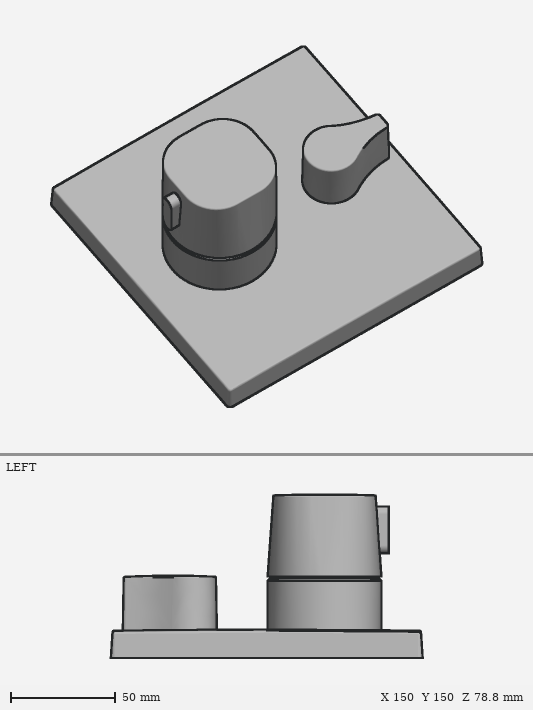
import cadquery as cq
import math

plate_side = 150.0
plate_draft = 0.9
plate_corner_radius = 2.2
plate_height = 13.8
plate_crown = 0.6
plate_edge_radius = 1.2

knob_y = -27.8
knob_radius = 27.5
collar_top = 38.2
collar_chamfer = 1.2
neck_radius = 22.2
knob_bottom = 39.2
knob_top = 78.8
knob_crown = 0.5
knob_top_half_width = 24.6
knob_top_corner_radius = 18.0
knob_edge_radius = 0.9

grip_width = 7.4
grip_bottom = 50.4
grip_height = 22.5
grip_front_y = -58.6

lever_y = 38.0
lever_head_radius = 14.1
lever_length = 31.4
lever_tip_half_width = 5.1
lever_tip_corner_radius = 1.8
lever_top = 39.8
lever_crown = 0.3
lever_edge_radius = 0.9
lever_draft_angle = 1.0

overlap = 3.0


def crown_top(body, center_y, top, rise, half_span):
    """Trim a body with a shallow sphere that drops by rise at half_span."""
    radius = (half_span**2 + rise**2) / (2 * rise)
    sphere = cq.Workplane("XY").sphere(radius).rotate((0, 0, 0), (0, 1, 0), 90)
    sphere = sphere.translate((0, center_y, top - radius))
    return body.intersect(sphere)


def make_plate():
    draft_angle = math.degrees(math.atan(plate_draft / plate_height))
    outline = cq.Sketch().rect(plate_side, plate_side).vertices().fillet(plate_corner_radius)
    body = cq.Workplane("XY").placeSketch(outline).extrude(plate_height, taper=draft_angle)
    body = crown_top(body, 0, plate_height, plate_crown, plate_side / 2)
    return body.faces(">Z").edges().fillet(plate_edge_radius)


def turn_point(x, y, quarter_turns):
    angle = math.radians(90 * quarter_turns)
    return (x * math.cos(angle) - y * math.sin(angle), x * math.sin(angle) + y * math.cos(angle))


def knob_outline(z, half_width, side_end, corner_middle):
    """Wire of four sides and four corner arcs; each side is straight or an arc."""
    side_x, side_y = side_end
    edges = []
    for quarter in range(4):
        points = [(side_x, -side_y), (half_width, 0), side_end, (corner_middle, corner_middle), (side_y, side_x)]
        points = [cq.Vector(*turn_point(x, y, quarter), z) for x, y in points]
        if side_x == half_width:
            edges.append(cq.Edge.makeLine(points[0], points[2]))
        else:
            edges.append(cq.Edge.makeThreePointArc(*points[:3]))
        edges.append(cq.Edge.makeThreePointArc(*points[2:]))
    return cq.Wire.assembleEdges(edges)


def make_collar():
    height = collar_top - plate_height + overlap
    collar = cq.Workplane("XY").workplane(offset=plate_height - overlap).circle(knob_radius).extrude(height)
    collar = collar.faces(">Z").chamfer(collar_chamfer)
    neck_height = knob_bottom - collar_top + 2 * overlap
    neck = cq.Workplane("XY").workplane(offset=collar_top - overlap).circle(neck_radius).extrude(neck_height)
    return collar.union(neck).translate((0, knob_y, 0))


def make_knob():
    flat_half = knob_top_half_width - knob_top_corner_radius
    top_corner = flat_half + knob_top_corner_radius / math.sqrt(2)
    top = knob_outline(knob_top, knob_top_half_width, (knob_top_half_width, flat_half), top_corner)
    side_angle = math.atan2(flat_half, knob_top_half_width)
    rim_end = (knob_radius * math.cos(side_angle), knob_radius * math.sin(side_angle))
    rim = knob_outline(knob_bottom, knob_radius, rim_end, knob_radius / math.sqrt(2))
    body = cq.Workplane(cq.Solid.makeLoft([rim, top], True))
    body = crown_top(body, 0, knob_top, knob_crown, knob_top_half_width)
    body = body.faces(">Z").edges().fillet(knob_edge_radius)
    return body.translate((0, knob_y, 0))


def make_grip():
    depth = knob_y - knob_top_half_width + overlap - grip_front_y
    middle_z = grip_bottom + grip_height / 2
    face = cq.Workplane("XZ", origin=(0, grip_front_y + depth, middle_z))
    return face.slot2D(grip_height, grip_width, 90).extrude(depth)


def make_lever():
    half = lever_tip_half_width
    head = lever_head_radius
    flank_radius = (half**2 + lever_length**2 - head**2) / (2 * (head - half))
    flank_x = half + flank_radius
    touch_angle = math.atan2(lever_length, flank_x)
    touch_x = head * math.cos(touch_angle)
    touch_y = head * math.sin(touch_angle)
    middle_x = flank_x - flank_radius * math.cos(touch_angle / 2)
    middle_y = lever_length - flank_radius * math.sin(touch_angle / 2)
    height = lever_top - plate_height + overlap
    body = (
        cq.Workplane("XY", origin=(0, lever_y, plate_height - overlap))
        .moveTo(-half, lever_length)
        .threePointArc((-middle_x, middle_y), (-touch_x, touch_y))
        .threePointArc((0, -head), (touch_x, touch_y))
        .threePointArc((middle_x, middle_y), (half, lever_length))
        .close()
        .extrude(height, taper=lever_draft_angle)
    )
    tip_y = lever_y + lever_length
    tip_edges = cq.selectors.BoxSelector(
        (-head, tip_y - overlap, 0), (head, tip_y + overlap, lever_top)
    )
    body = body.edges("not #Z").edges(tip_edges).fillet(lever_tip_corner_radius)
    body = crown_top(body, lever_y + lever_length / 4, lever_top, lever_crown, lever_length / 2)
    return body.faces(">Z").edges().fillet(lever_edge_radius)


result = make_plate()
for control_part in (make_collar(), make_knob(), make_grip(), make_lever()):
    result = result.union(control_part)